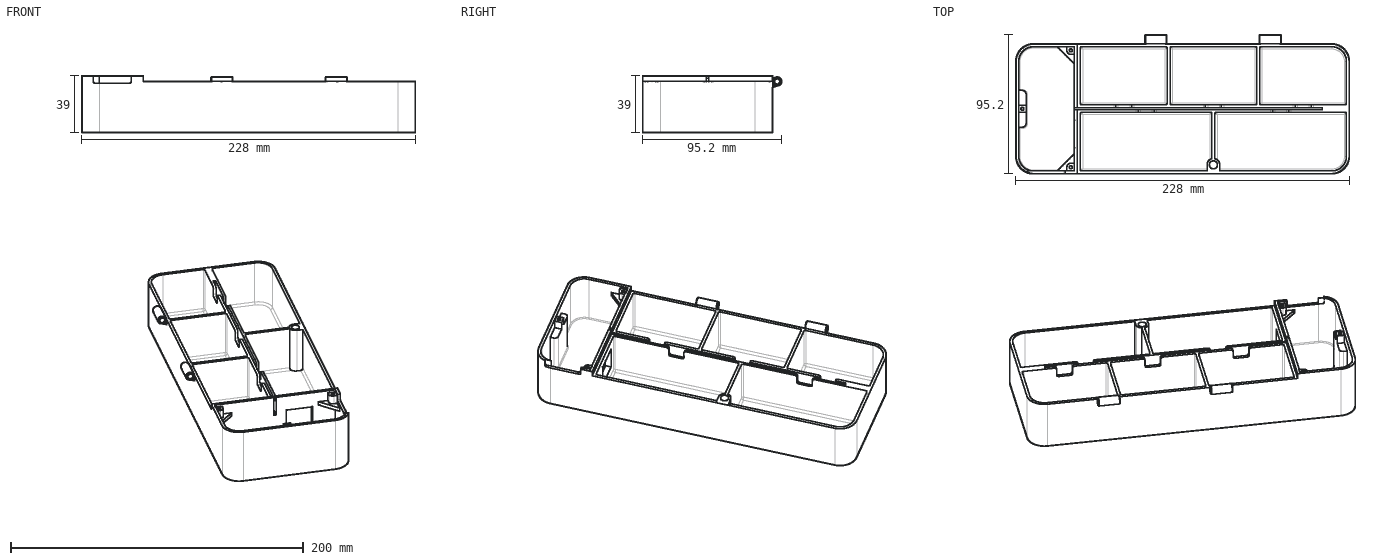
import cadquery as cq


length = 228.0
depth = 89.0
bay_rim = 39.0
tray_rim = 35.0
corner_radius = 12.0
bottom_chamfer = 0.5

wall = 2.0
floor = 3.0
bay_floor = 2.5
inner_radius = corner_radius - wall
bay_right = 40.1
bay_floor_fillet = 0.7
tray_left = bay_right + 2 * wall
tray_right = length - wall
floor_fillet = 1.5
cell_corner_radius = 1.0

spine_y = depth / 2
groove_width = 1.5
groove_front_wall = 1.5
groove_end = 209.5
groove_bottom = 25.0
back_count = 3
front_count = 2

notch_width = 11.0
notch_depth = 7.3
notch_fillet = 1.5

window_y_min = 18.0
window_y_max = 36.5
window_bottom = 11.2
window_top = 27.8

cutout_left = 8.0
cutout_right = 33.7
cutout_depth = 5.0
cutout_corner = 1.0

boss_top = 37.5
plate_top = 31.2
plate_thickness = 2.5
gusset_leg = 11.9
screw_radius = 1.0
boss_radius = 2.7
boss_offset = 2.5

pier_reach = 5.0
pier_length = 25.0
pier_corner = 2.5
pier_boss_width = 5.0
pier_screw_offset = 2.5

magnet_radius = 2.7
magnet_boss_radius = 4.3
magnet_y = 6.2
magnet_depth = 5.0

hinge_centers = (95.8, 174.0)
hinge_width = 15.0
hinge_reach = 6.2
hinge_radius = hinge_reach / 2
hinge_bore = 1.8
hinge_chamfer = 0.5
hinge_foot = 31.0


def block(x_min, x_max, y_min, y_max, z_min, z_max):
    """Axis-aligned box given by its limits."""
    size = (x_max - x_min, y_max - y_min, z_max - z_min)
    return cq.Workplane("XY").box(*size, centered=False).translate((x_min, y_min, z_min))


def post(x, y, radius, z_min, z_max):
    """Upright cylinder."""
    return cq.Workplane("XY", origin=(x, y, z_min)).circle(radius).extrude(z_max - z_min)


def cell_spans(count):
    """X limits of equal compartments that share the tray length."""
    width = (tray_right - tray_left - (count - 1) * wall) / count
    starts = [tray_left + i * (width + wall) for i in range(count)]
    return [(start, start + width) for start in starts]


def outer_body():
    body = block(0, length, 0, depth, 0, bay_rim).edges("|Z").fillet(corner_radius)
    body = body.faces("<Z").edges().chamfer(bottom_chamfer)
    return body.cut(block(bay_right + wall, length, 0, depth, tray_rim, bay_rim))


def lid_pier():
    """Full-height pier on the left wall of the bay, reaching up to the level of the gusset plates."""
    half = pier_length / 2
    pier = block(0, wall + pier_reach, spine_y - half, spine_y + half, bay_floor, plate_top)
    return pier.edges("|Z and >X").fillet(pier_corner)


def pier_boss():
    """Screw block on top of the pier."""
    half = pier_boss_width / 2
    boss = block(wall, wall + pier_reach, spine_y - half, spine_y + half, plate_top, boss_top)
    return boss.cut(post(wall + pier_screw_offset, spine_y, screw_radius, plate_top, boss_top))


def bay_pocket():
    pocket = block(wall, bay_right, wall, depth - wall, bay_floor, bay_rim)
    pocket = pocket.edges("|Z and <X").fillet(inner_radius).cut(lid_pier())
    return pocket.faces("<Z").edges().fillet(bay_floor_fillet)


def compartment(x_min, x_max, y_min, y_max, outer_side):
    """Compartment cavity; outer_side picks the long body wall it lies against."""
    pocket = block(x_min, x_max, y_min, y_max, floor, bay_rim)
    opposite_side = {"<Y": ">Y", ">Y": "<Y"}
    right_edges = "|Z and >X"
    if x_max > tray_right - wall:
        pocket = pocket.edges(f"|Z and >X and {outer_side}").fillet(inner_radius)
        right_edges = f"|Z and >X and {opposite_side[outer_side]}"
    pocket = pocket.edges(right_edges).fillet(cell_corner_radius)
    pocket = pocket.edges("|Z and <X").fillet(cell_corner_radius)
    return pocket.faces("<Z").edges().fillet(floor_fillet)


def notch(center_x, y_min, y_max):
    """Notch through one side of the spine, flared at the rim and rounded at the bottom."""
    half = notch_width / 2
    bottom = tray_rim - notch_depth
    r = notch_fillet
    profile = (
        cq.Workplane("XZ", origin=(center_x, y_max, 0))
        .moveTo(-half - r, tray_rim)
        .radiusArc((-half, tray_rim - r), r)
        .lineTo(-half, bottom + r)
        .radiusArc((-half + r, bottom), -r)
        .lineTo(half - r, bottom)
        .radiusArc((half, bottom + r), -r)
        .lineTo(half, tray_rim - r)
        .radiusArc((half + r, tray_rim), r)
        .close()
    )
    return profile.extrude(y_max - y_min)


def corner_boss(wall_y, inward):
    """Gusset plate with a screw boss in a right-hand corner of the bay."""
    plate = (
        cq.Workplane("XY", origin=(0, 0, plate_top - plate_thickness))
        .moveTo(bay_right, wall_y)
        .lineTo(bay_right - gusset_leg, wall_y)
        .lineTo(bay_right, wall_y + inward * gusset_leg)
        .close()
        .extrude(plate_thickness)
    )
    x = bay_right - boss_offset
    y = wall_y + inward * boss_offset
    y_far = y + inward * boss_radius
    boss = post(x, y, boss_radius, plate_top, boss_top)
    boss = boss.union(block(x, bay_right, min(wall_y, y_far), max(wall_y, y_far), plate_top, boss_top))
    boss = boss.union(block(x - boss_radius, x, min(wall_y, y), max(wall_y, y), plate_top, boss_top))
    return plate.union(boss).cut(post(x, y, screw_radius, plate_top, boss_top))


def hinge(center_x):
    """Barrel along X with a wedge that carries it from the back wall."""
    axis_y = depth + hinge_radius
    left = center_x - hinge_width / 2
    plane = cq.Workplane("YZ", origin=(left, 0, 0))
    barrel = plane.center(axis_y, tray_rim).circle(hinge_radius).extrude(hinge_width)
    barrel = barrel.edges().chamfer(hinge_chamfer)
    wedge = (
        cq.Workplane("YZ", origin=(left + hinge_chamfer, 0, 0))
        .moveTo(depth, tray_rim)
        .lineTo(depth, hinge_foot)
        .lineTo(axis_y, tray_rim - hinge_radius)
        .lineTo(axis_y, tray_rim)
        .close()
        .extrude(hinge_width - 2 * hinge_chamfer)
    )
    bore = plane.center(axis_y, tray_rim).circle(hinge_bore).extrude(hinge_width)
    return barrel.union(wedge).cut(bore)


groove_front = spine_y - groove_width / 2
groove_back = spine_y + groove_width / 2
spine_front = groove_front - groove_front_wall
spine_back = groove_back + wall

result = outer_body().cut(bay_pocket())
for x_min, x_max in cell_spans(back_count):
    result = result.cut(compartment(x_min, x_max, spine_back, depth - wall, ">Y"))
    result = result.cut(notch((x_min + x_max) / 2, spine_y, spine_back))
for x_min, x_max in cell_spans(front_count):
    result = result.cut(compartment(x_min, x_max, wall, spine_front, "<Y"))
    result = result.cut(notch((x_min + x_max) / 2, spine_front, spine_y))

result = result.cut(block(bay_right, groove_end, groove_front, groove_back, groove_bottom, bay_rim))
result = result.cut(block(bay_right, tray_left, window_y_min, window_y_max, window_bottom, window_top))
cutout = block(cutout_left, cutout_right, 0, wall, bay_rim - cutout_depth, bay_rim)
result = result.cut(cutout.edges("|Y and <Z").fillet(cutout_corner))

result = result.union(corner_boss(wall, 1))
result = result.union(corner_boss(depth - wall, -1))
result = result.union(pier_boss())

magnet_x = (tray_left + tray_right) / 2
magnet_left = magnet_x - magnet_boss_radius
magnet_right = magnet_x + magnet_boss_radius
result = result.union(post(magnet_x, magnet_y, magnet_boss_radius, floor, tray_rim))
result = result.union(block(magnet_left, magnet_right, wall, magnet_y, floor, tray_rim))
result = result.cut(post(magnet_x, magnet_y, magnet_radius, tray_rim - magnet_depth, tray_rim))

for center_x in hinge_centers:
    result = result.union(hinge(center_x))